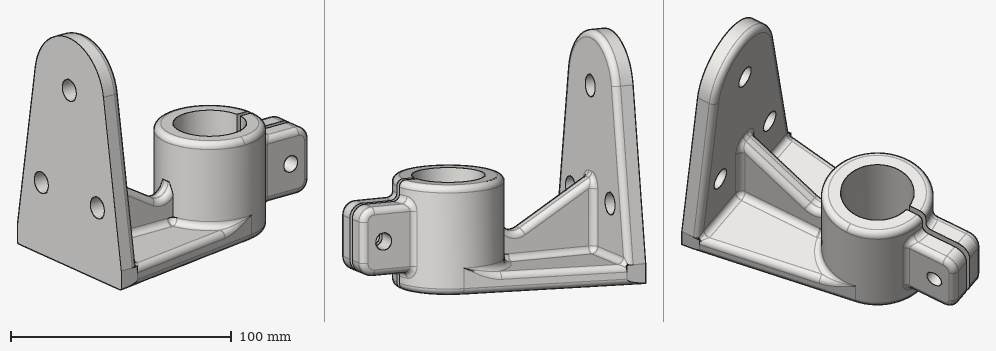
import cadquery as cq
import math

width = 76.2
length = 130.0
height = 111.0

wall = 9.5
edge_radius = 3.1

boss_radius = 25.4
boss_height = 50.7
bore_diameter = 33.3

lug_reach = 49.0
lug_width = 22.2
lug_height = 31.7
lug_corner_radius = 6.4
lug_hole_diameter = 7.9
lug_hole_inset = 11.0
slot_width = 2.6

plate_front = lug_reach - length
plate_back = plate_front + wall
plate_top_radius = 25.4
plate_hole_diameter = 10.3
lower_hole_spacing = 41.1
lower_hole_height = 34.9
upper_hole_height = height - plate_top_radius

rib_slope = math.radians(30)
rib_valley_height = 22.5
rib_valley_radius = 6.4


def block(x_min, x_max, y_min, y_max, z_min, z_max):
    """Box given by its limits along each axis."""
    size = (x_max - x_min, y_max - y_min, z_max - z_min)
    return cq.Workplane("XY").box(*size, centered=False).translate((x_min, y_min, z_min))


def centered_in(x_min, x_max, y_min, y_max, z_min, z_max):
    """Selector for edges whose centre lies within the limits, with a little slack."""
    slack = 0.07
    low = (x_min - slack, y_min - slack, z_min - slack)
    high = (x_max + slack, y_max + slack, z_max + slack)
    return cq.selectors.BoxSelector(low, high)


def tangent_angle(half_width, radius, drop):
    """Lean of a line from the point (half_width, -drop) that touches a circle about the origin."""
    return math.atan2(half_width, drop) - math.asin(radius / math.hypot(half_width, drop))


base_lean = tangent_angle(width / 2, boss_radius, -plate_back)
base_front_half_width = width / 2 + wall * math.tan(base_lean)


def base_prism(bottom, top):
    """Tapered base outline with a round end about the boss axis."""
    touch_x = boss_radius * math.cos(base_lean)
    touch_y = boss_radius * math.sin(base_lean)
    return (
        cq.Workplane("XY", origin=(0, 0, bottom))
        .moveTo(-base_front_half_width, plate_front)
        .lineTo(base_front_half_width, plate_front)
        .lineTo(touch_x, touch_y)
        .threePointArc((0, boss_radius), (-touch_x, touch_y))
        .close()
        .extrude(top - bottom)
    )


def make_base():
    """Tapered slab blended into the boss foot, with its side and round edges filleted."""
    foot_radius = boss_radius + edge_radius
    blend_top = wall + edge_radius
    blend = (
        cq.Workplane("XZ")
        .moveTo(0, 0)
        .lineTo(foot_radius, 0)
        .lineTo(foot_radius, wall)
        .radiusArc((boss_radius, blend_top), edge_radius)
        .lineTo(0, blend_top)
        .close()
        .revolve(360, (0, 0, 0), (0, 1, 0))
    )
    base = base_prism(0, wall).union(blend.intersect(base_prism(0, blend_top)))
    bottom_outline = base.faces("<Z").edges("not(<Y)").vals()
    straight_sides = centered_in(-width, width, plate_front + 1.3, 0, wall, wall)
    top_sides = base.edges(straight_sides & cq.StringSyntaxSelector("%LINE")).vals()
    base = base.newObject(bottom_outline + top_sides).fillet(edge_radius)
    side_limit = block(-width / 2, width / 2, plate_front, lug_reach, 0, height)
    return base.intersect(side_limit)


def make_plate():
    """Upright plate with a round top and a fillet around its back edge."""
    half_width = width / 2
    lean = tangent_angle(half_width, plate_top_radius, upper_hole_height - wall)
    touch_x = plate_top_radius * math.cos(lean)
    touch_z = upper_hole_height + plate_top_radius * math.sin(lean)
    upright = (
        cq.Workplane("XZ", origin=(0, plate_back, 0))
        .moveTo(-half_width, wall)
        .lineTo(half_width, wall)
        .lineTo(touch_x, touch_z)
        .threePointArc((0, height), (-touch_x, touch_z))
        .close()
        .extrude(wall)
    )
    upright = upright.faces(">Y").edges("not(<Z)").fillet(edge_radius)
    foot = block(-half_width, half_width, plate_front, plate_back, edge_radius, wall)
    return upright.union(foot)


def make_rib():
    """Sloping rib whose top dips in a round valley and turns up against the boss."""
    valley_y = -boss_radius - rib_valley_radius
    valley_z = rib_valley_height + rib_valley_radius
    slope_y = valley_y - rib_valley_radius * math.sin(rib_slope)
    slope_z = valley_z - rib_valley_radius * math.cos(rib_slope)
    rib_end = plate_front + wall / 2
    end_z = slope_z + (slope_y - rib_end) * math.tan(rib_slope)
    inner_y = -(boss_radius + bore_diameter / 2) / 2
    rib = (
        cq.Workplane("YZ", origin=(-wall / 2, 0, 0))
        .moveTo(rib_end, edge_radius)
        .lineTo(rib_end, end_z)
        .lineTo(slope_y, slope_z)
        .threePointArc((valley_y, rib_valley_height), (-boss_radius, valley_z))
        .lineTo(inner_y, valley_z)
        .lineTo(inner_y, edge_radius)
        .close()
        .extrude(wall)
    )
    top_edges = []
    for side_x in (-wall / 2, wall / 2):
        side_top = centered_in(side_x, side_x, rib_end + 1.3, -boss_radius, rib_valley_height, end_z)
        top_edges += rib.edges(side_top).vals()
    return rib.newObject(top_edges).fillet(edge_radius)


def make_boss():
    """Solid boss cylinder with a rounded top rim; its lower rim belongs to the base."""
    boss = cq.Workplane("XY", origin=(0, 0, edge_radius)).circle(boss_radius)
    return boss.extrude(boss_height - edge_radius).faces(">Z").edges().fillet(edge_radius)


def make_lug():
    """Clamp lug with round end corners and filleted outer edges, before slotting."""
    half_width = lug_width / 2
    middle_z = boss_height / 2
    lug = block(
        -half_width, half_width, 0, lug_reach, middle_z - lug_height / 2, middle_z + lug_height / 2
    )
    lug = lug.faces(">Y").edges("|X").fillet(lug_corner_radius)
    return lug.faces("<X or >X").edges("not(<Y)").fillet(edge_radius)


def clamp_cuts():
    """Bore, clamp slot and the cross hole for the clamp screw."""
    bore = cq.Workplane("XY").circle(bore_diameter / 2).extrude(boss_height)
    slot = block(-slot_width / 2, slot_width / 2, 0, lug_reach, 0, boss_height)
    screw_hole = (
        cq.Workplane("YZ", origin=(-lug_width / 2, 0, 0))
        .center(lug_reach - lug_hole_inset, boss_height / 2)
        .circle(lug_hole_diameter / 2)
        .extrude(lug_width)
    )
    return bore.union(slot).union(screw_hole)


def plate_holes():
    """Three mounting holes through the plate."""
    centers = [
        (-lower_hole_spacing / 2, lower_hole_height),
        (lower_hole_spacing / 2, lower_hole_height),
        (0, upper_hole_height),
    ]
    return (
        cq.Workplane("XZ", origin=(0, plate_back, 0))
        .pushPoints(centers)
        .circle(plate_hole_diameter / 2)
        .extrude(wall)
    )


body = make_base().union(make_plate()).union(make_rib())
plate_seams = centered_in(-width / 3, width / 3, plate_back, plate_back, wall, boss_height)
rib_foot_seams = centered_in(-wall / 2, wall / 2, plate_back, -boss_radius, wall, wall)
body = body.edges(plate_seams + rib_foot_seams).fillet(edge_radius)

body = body.union(make_boss()).union(make_lug())
lug_seams = centered_in(
    -lug_width / 2, lug_width / 2, boss_radius / 2, boss_radius, wall, boss_height - wall
)
body = body.edges(lug_seams).fillet(edge_radius)

result = body.cut(clamp_cuts()).cut(plate_holes())